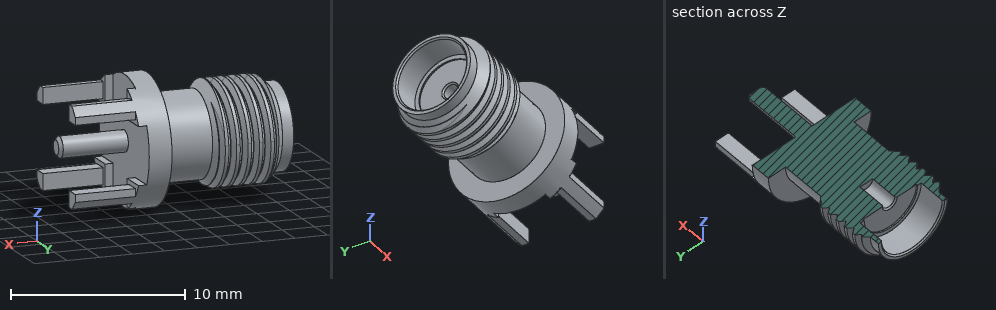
import cadquery as cq
LENGTH = 13.6
NOSE_LENGTH = 0.7
THREAD_END = 5.0
FLANGE_FRONT = 8.0
FLANGE_THICKNESS = 1.4
PAD_HEIGHT = 0.5
FLANGE_BACK = FLANGE_FRONT + FLANGE_THICKNESS
PAD_BACK = FLANGE_BACK + PAD_HEIGHT

BARREL_RADIUS = 5.3 / 2
THREAD_RADIUS = 6.4 / 2
FLANGE_RADIUS = 7.92 / 2

THREAD_PITCH = 0.7
GROOVE_DEPTH = 0.31
GROOVE_MOUTH_WIDTH = 0.48
GROOVE_ROOT_WIDTH = 0.03
GROOVE_CLEARANCE = 0.1
GROOVE_START = 0.65
GROOVE_TURNS = 6

BORE_RADIUS = 4.66 / 2
BORE_DEPTH = 1.9
BORE_CHAMFER = 0.1
INSULATOR_RADIUS = 4.1 / 2
INSULATOR_RECESS = 0.1
CONTACT_HOLE_RADIUS = 0.47
CONTACT_HOLE_DEPTH = 2.0
CONTACT_CHAMFER = 0.1

PIN_RADIUS = 1.3 / 2
PIN_CHAMFER = 0.2
SLOT_HALF_WIDTH = 1.75
LEG_WIDTH = 1.02
LEG_PITCH = 5.1


def cylinder(start, length, radius):
    """Solid cylinder on the X axis."""
    return cq.Workplane("YZ").workplane(offset=start).circle(radius).extrude(length)


def revolve_about_x(points):
    """Turn an (x, radius) outline about the X axis."""
    return cq.Workplane("XY").polyline(points).close().revolve(360, (0, 0, 0), (1, 0, 0))


def make_body():
    """Barrel, thread blank with 45 degree ends, and flange."""
    rise = THREAD_RADIUS - BARREL_RADIUS
    return revolve_about_x([
        (0, 0),
        (0, BARREL_RADIUS),
        (NOSE_LENGTH, BARREL_RADIUS),
        (NOSE_LENGTH + rise, THREAD_RADIUS),
        (THREAD_END - rise, THREAD_RADIUS),
        (THREAD_END, BARREL_RADIUS),
        (FLANGE_FRONT, BARREL_RADIUS),
        (FLANGE_FRONT, FLANGE_RADIUS),
        (FLANGE_BACK, FLANGE_RADIUS),
        (FLANGE_BACK, 0),
    ])


def make_groove_turn():
    """Cutter for one turn of the thread groove, starting and ending on the +Z side."""
    root_radius = THREAD_RADIUS - GROOVE_DEPTH
    top_radius = THREAD_RADIUS + GROOVE_CLEARANCE
    flank_slope = (GROOVE_MOUTH_WIDTH - GROOVE_ROOT_WIDTH) / 2 / GROOVE_DEPTH
    root_half = GROOVE_ROOT_WIDTH / 2
    top_half = GROOVE_MOUTH_WIDTH / 2 + flank_slope * GROOVE_CLEARANCE
    helix = cq.Wire.makeHelix(
        THREAD_PITCH,
        THREAD_PITCH,
        THREAD_RADIUS,
        center=cq.Vector(GROOVE_START, 0, 0),
        dir=cq.Vector(1, 0, 0),
    )
    profile = cq.Workplane("XZ").polyline([
        (GROOVE_START - root_half, root_radius),
        (GROOVE_START - top_half, top_radius),
        (GROOVE_START + top_half, top_radius),
        (GROOVE_START + root_half, root_radius),
    ])
    return profile.close().sweep(cq.Workplane(helix), isFrenet=True)


def cut_thread(body):
    """Cut the groove turn by turn, running out through both end cones of the thread."""
    groove_turn = make_groove_turn()
    for turn in range(GROOVE_TURNS):
        body = body.cut(groove_turn.translate((turn * THREAD_PITCH, 0, 0)))
    return body


def make_socket():
    """Chamfered bore, recessed insulator face and countersunk contact hole."""
    insulator_face = BORE_DEPTH + INSULATOR_RECESS
    hole_end = insulator_face + CONTACT_HOLE_DEPTH
    return revolve_about_x([
        (0, 0),
        (0, BORE_RADIUS + BORE_CHAMFER),
        (BORE_CHAMFER, BORE_RADIUS),
        (BORE_DEPTH, BORE_RADIUS),
        (BORE_DEPTH, INSULATOR_RADIUS),
        (insulator_face, INSULATOR_RADIUS),
        (insulator_face, CONTACT_HOLE_RADIUS + CONTACT_CHAMFER),
        (insulator_face + CONTACT_CHAMFER, CONTACT_HOLE_RADIUS),
        (hole_end, CONTACT_HOLE_RADIUS),
        (hole_end, 0),
    ])


def make_pin():
    """Central solder pin with a chamfered tip."""
    pin = cylinder(FLANGE_BACK, LENGTH - FLANGE_BACK, PIN_RADIUS)
    return pin.faces(">X").chamfer(PIN_CHAMFER)


def make_pads_and_legs():
    """Four standoff pads with square legs, all trimmed to the flange rim."""
    pad_width = FLANGE_RADIUS - SLOT_HALF_WIDTH
    pad_pitch = FLANGE_RADIUS + SLOT_HALF_WIDTH
    pads = (
        cq.Workplane("YZ")
        .workplane(offset=FLANGE_BACK)
        .rarray(pad_pitch, pad_pitch, 2, 2)
        .rect(pad_width, pad_width)
        .extrude(PAD_HEIGHT)
    )
    legs = (
        cq.Workplane("YZ")
        .workplane(offset=PAD_BACK)
        .rarray(LEG_PITCH, LEG_PITCH, 2, 2)
        .rect(LEG_WIDTH, LEG_WIDTH)
        .extrude(LENGTH - PAD_BACK)
    )
    rim = cylinder(FLANGE_BACK, LENGTH - FLANGE_BACK, FLANGE_RADIUS)
    return pads.union(legs).intersect(rim)


threaded_body = cut_thread(make_body())
result = threaded_body.cut(make_socket()).union(make_pin()).union(make_pads_and_legs())